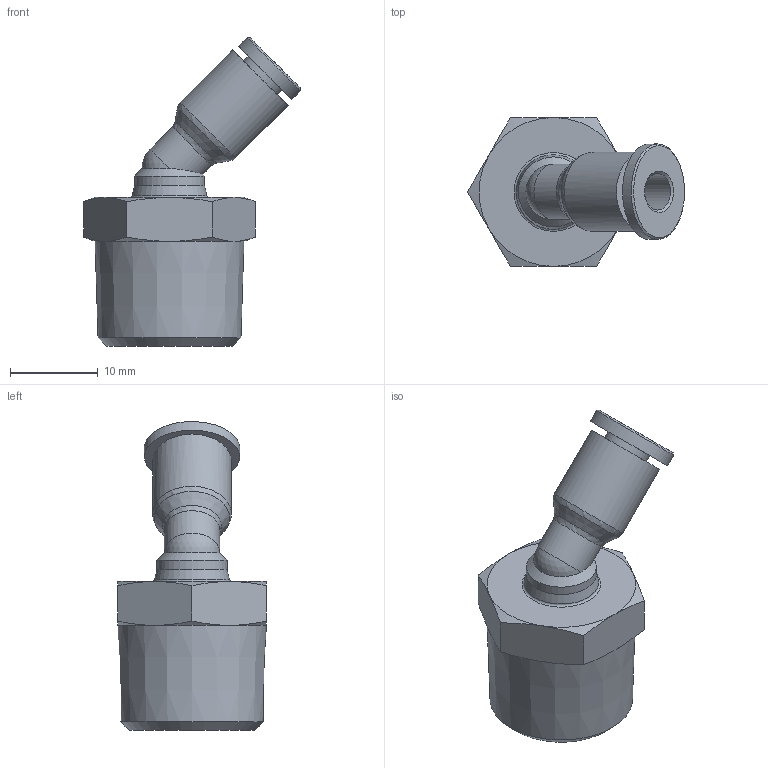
import cadquery as cq
import math

thread_length = 12.0
thread_top_radius = 8.5
thread_taper = 1 / 16
thread_chamfer_height = 1.0
thread_chamfer_inset = 1.0

hex_across_flats = 17.0
hex_height = 5.0
hex_chamfer_angle = 20.0

neck_radius = 4.0
neck_base_radius = 4.25
neck_foot_fillet = 0.25
neck_taper_height = 1.4
neck_height = 2.45

arm_angle = 45.0
tube_radius = 3.15
shoulder_start = 3.97
shoulder_end = 5.86
shoulder_fillet = 1.1
body_radius = 4.5
body_end = 14.65

stem_radius = 2.75
cap_start = 15.45
cap_end = 17.05
cap_semi_minor = 4.3
cap_semi_major = 5.45
cap_chamfer = 0.2

socket_radius = 2.1
socket_chamfer = 0.25
socket_floor = shoulder_end

hex_top = thread_length + hex_height
neck_top = hex_top + neck_height
elbow_height = neck_top + neck_radius - tube_radius


def revolve_about_z(profile):
    return profile.close().revolve(360, (0, 0, 0), (0, 1, 0))


def make_thread():
    bottom_radius = thread_top_radius - thread_taper / 2 * (thread_length - thread_chamfer_height)
    profile = (
        cq.Workplane("XZ")
        .lineTo(bottom_radius - thread_chamfer_inset, 0)
        .lineTo(bottom_radius, thread_chamfer_height)
        .lineTo(thread_top_radius, thread_length)
        .lineTo(0, thread_length)
    )
    return revolve_about_z(profile)


def make_hexagon():
    flat_radius = hex_across_flats / 2
    corner_radius = flat_radius / math.cos(math.radians(30))
    corner_drop = (corner_radius - flat_radius) * math.tan(math.radians(hex_chamfer_angle))
    prism = (
        cq.Workplane("XY")
        .workplane(offset=thread_length)
        .polygon(6, 2 * corner_radius)
        .extrude(hex_height)
    )
    overshoot = 1.5
    envelope_radius = flat_radius + overshoot * (corner_radius - flat_radius)
    envelope_drop = overshoot * corner_drop
    envelope = (
        cq.Workplane("XZ")
        .moveTo(0, thread_length)
        .lineTo(flat_radius, thread_length)
        .lineTo(envelope_radius, thread_length + envelope_drop)
        .lineTo(envelope_radius, hex_top - envelope_drop)
        .lineTo(flat_radius, hex_top)
        .lineTo(0, hex_top)
    )
    return prism.intersect(revolve_about_z(envelope))


def make_neck():
    fillet_middle = neck_foot_fillet * (1 - math.sqrt(0.5))
    profile = (
        cq.Workplane("XZ")
        .moveTo(0, hex_top)
        .lineTo(neck_base_radius + neck_foot_fillet, hex_top)
        .threePointArc(
            (neck_base_radius + fillet_middle, hex_top + fillet_middle),
            (neck_base_radius, hex_top + neck_foot_fillet),
        )
        .lineTo(neck_radius, hex_top + neck_taper_height)
        .lineTo(neck_radius, neck_top)
        .lineTo(tube_radius, elbow_height)
        .lineTo(0, elbow_height)
    )
    return revolve_about_z(profile)


def make_arm_body():
    """Tube, filleted shoulder and tube-holding body, built upright on Z = 0."""
    profile = (
        cq.Workplane("XZ")
        .lineTo(tube_radius, 0)
        .lineTo(tube_radius, shoulder_start)
        .lineTo(body_radius, shoulder_end)
        .lineTo(body_radius, body_end)
        .lineTo(0, body_end)
    )
    middle = (shoulder_start + shoulder_end) / 2
    reach = shoulder_end - shoulder_start
    shoulder_zone = cq.selectors.BoxSelector(
        (-2 * body_radius, -2 * body_radius, middle - reach),
        (2 * body_radius, 2 * body_radius, middle + reach),
    )
    return revolve_about_z(profile).edges("%CIRCLE").edges(shoulder_zone).fillet(shoulder_fillet)


def make_button():
    stem = cq.Workplane("XY").workplane(offset=body_end).circle(stem_radius).extrude(cap_end - body_end)
    cap = (
        cq.Workplane("XY")
        .workplane(offset=cap_start)
        .ellipse(cap_semi_minor, cap_semi_major)
        .extrude(cap_end - cap_start)
        .faces(">Z")
        .edges()
        .chamfer(cap_chamfer)
    )
    return stem.union(cap)


def make_socket():
    profile = (
        cq.Workplane("XZ")
        .moveTo(0, socket_floor)
        .lineTo(socket_radius, socket_floor)
        .lineTo(socket_radius, cap_end - socket_chamfer)
        .lineTo(socket_radius + socket_chamfer, cap_end)
        .lineTo(0, cap_end)
    )
    return revolve_about_z(profile)


def make_arm():
    """Complete arm, tilted about the elbow centre; a ball of the tube radius rounds the elbow."""
    arm = make_arm_body().union(make_button()).cut(make_socket())
    tilted = arm.rotate((0, 0, 0), (0, 1, 0), arm_angle)
    return tilted.union(cq.Workplane("XY").sphere(tube_radius)).translate((0, 0, elbow_height))


result = make_thread().union(make_hexagon()).union(make_neck()).union(make_arm())